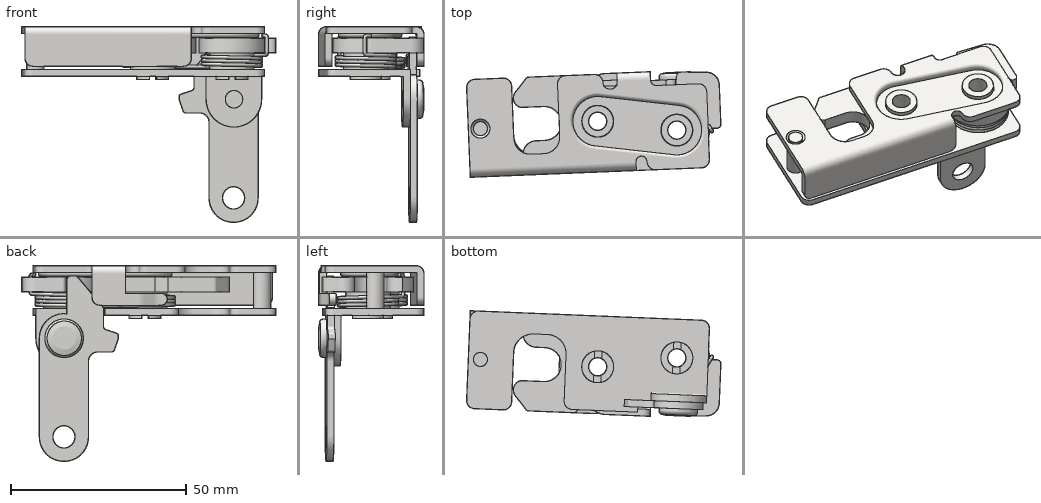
import cadquery as cq
import math

ASSEMBLY_TURN = 2.35

MARGIN = 0.1

SHEET = 2.0
FRAME_HEIGHT = 14.2
UPPER_PLATE_BOTTOM = FRAME_HEIGHT - SHEET
ROTOR_BOTTOM = 6.7
ROTOR_THICKNESS = 4.2
DIMPLE_DROP = 1.15
DIMPLE_UNDERSIDE = UPPER_PLATE_BOTTOM - DIMPLE_DROP
DIMPLE_FLOOR = 12.55
BUSHING_TOP = 13.65

FRAME_LEFT = -36.95
FRAME_RIGHT = 31.4
FRAME_FRONT = -14.5
FRAME_BACK = 13.4
CORNER_RADIUS = 2.4

MOUTH_LEFT = -24.05
MOUTH_RIGHT = -11.0
MOUTH_BOTTOM = -8.6
MOUTH_RADIUS = 4.7
LOWER_MOUTH_RIGHT = -9.15
LOWER_MOUTH_RADIUS = 5.5

PIVOTS = [(0.0, 0.0), (22.43, -3.45)]
HOOK_PIVOT, PAWL_PIVOT = PIVOTS
PIVOT_SPACING = math.dist(HOOK_PIVOT, PAWL_PIVOT)
PIVOT_LINE_ANGLE = math.degrees(math.atan2(PAWL_PIVOT[1], PAWL_PIVOT[0]))

BUSHING_BORE = 5.1
BUSHING_COLLAR = 12.7
BUSHING_JOURNAL = 11.0
BUSHING_NOSE = 8.9
BUSHING_NOSE_HOLE = 9.1
BUSHING_TAIL = 9.1
BUSHING_TAIL_DROP = 0.9
TAIL_SLOT_WIDTH = 2.1

DIMPLE_FLOOR_RADIUS = 7.06
DIMPLE_RIM_ROUND = 1.0
DIMPLE_BOSS_RADIUS = 7.8
DIMPLE_BOSS_FILLET = 0.8

PIN_POSITION = (-33.47, -0.72)
PIN_DIAMETER = 5.0
PIN_TENON = 4.0
PIN_SINK_DIAMETER = 5.4
PIN_SINK_ANGLE = 90

BEND_RADIUS = 2.3
FLANGE_BOTTOM = 2.9
FLANGE_CORNER_RADIUS = 2.2
FRONT_FLANGE_RIGHT = 10.45
FRONT_RELIEF_RADIUS = 1.55
FRONT_RELIEF_CENTER_Y = -12.0
BACK_FLANGE_LEFT = 6.0
BACK_FLANGE_RIGHT = 15.55
BACK_FLANGE_FACE = 13.52
BACK_RELIEF_RADIUS = 2.03
BACK_RELIEF_CENTER_Y = 11.0
RIGHT_BACK_EDGE = 9.5
BACK_NOTCH_RADIUS = 1.6

TAIL_TOP = 6.3
TAIL_END = -6.0
JOGGLE_START = 1.5
JOGGLE_END = -3.0
JOGGLE_OFFSET = 2.25
JOGGLE_ROUND = 4.0

LEVER_AXIS_X = 23.48
LEVER_AXIS_Z = -6.5
LEVER_FRONT = 9.0
LEVER_WIDTH = 14.0
LEVER_EYE_Z = -34.6
LEVER_EYE_DIAMETER = 6.3
FINGER_LEFT = 12.2
FINGER_RIGHT = 22.65
FINGER_TOP_LEFT = 19.85
FINGER_TOP = 11.3
FINGER_SLOPE_START_Z = 2.2
FINGER_ROUND = 1.2
BUMP_LEFT = 8.0
BUMP_HEEL_X = 9.3
BUMP_ROOT_Z = -3.8
BUMP_TOP_Z = -5.2
BUMP_MIDDLE_Z = -6.7
BUMP_BOTTOM_Z = -10.45
BUMP_ROUND = 0.9
BUMP_TOP_ROUND = 0.5
BUMP_LEVER_ROUND = 2.6
TAB_RADIUS = FRAME_RIGHT - LEVER_AXIS_X
TAB_BEND_RADIUS = 0.35
LEVER_NOTCH_LEFT = 11.9
LOWER_PLATE_BACK = 12.45
LOWER_FRONT_CORNER_RADIUS = 2.5
RIVET_TENON = 5.0
RIVET_SHANK = 7.0
RIVET_HEAD = 11.0
RIVET_RIM_HEIGHT = 0.85
RIVET_SHOULDER_RADIUS = 4.9
RIVET_SHOULDER_HEIGHT = 1.75
RIVET_ROUND = (5.3, 1.4)
RIVET_TOP_RADIUS = 3.35
RIVET_HEAD_HEIGHT = 2.05

WIRE_DIAMETER = 1.0
COIL_RADIUS = 8.25
COIL_PITCH = 1.02
HOOK_WHOLE_TURNS = 2
PAWL_WHOLE_TURNS = 3
SPRING_BOTTOM = 2.85
SPRING_TOP = 11.62
SPRING_LEG_RADIUS = 10.0
SPRING_LEG_BEND = 0.9
SPRING_HOOK_LENGTH = 2.0
HOOK_LEG_ANGLE = -90.0
PAWL_LEG_ANGLE = -4.0

HOOK_BODY_RADIUS = 12.3
HOOK_SHOULDER_Y = 9.9
THROAT_CENTER_X = -15.2
THROAT_RADIUS = 4.8
UPPER_JAW_LIP_X = -21.7
UPPER_JAW_NOSE = (-23.75, 7.83)
UPPER_JAW_SLOPE_START = (-22.95, 9.45)
UPPER_JAW_SLOPE_END = (-20.1, 12.8)
UPPER_JAW_ROUND = (-19.75, 13.2)
UPPER_JAW_TOP_LEFT = -19.1
UPPER_JAW_TOP_RIGHT = -6.0
LOWER_JAW_HEEL_X = -15.0
LOWER_JAW_HEEL_ROUND = (-18.0, -11.6)
LOWER_JAW_CHIN = (-20.5, -9.9)
LOWER_JAW_TIP = (-21.7, -8.9)
LOWER_JAW_NOSE = (-20.64, -6.05)
LOWER_JAW_LIP_X = -18.0
LEG_NOTCH_WIDTH = 1.8

PAWL_HUB_RADIUS = 9.35
PAWL_ARM_LEFT = 22.75
PAWL_ARM_RIGHT = 35.07
PAWL_ARM_BOTTOM = -3.4
PAWL_FLANK_START = (PAWL_ARM_LEFT, 10.9)
PAWL_FLANK_END = (23.2, 12.6)
PAWL_FLANK_ROUND = (23.5, 12.95)
PAWL_TOP_LEFT = (24.0, 13.05)
PAWL_TOP_RIGHT_Y = 12.6
PAWL_ARM_RADIUS = 3.8
PAWL_TIP_RADIUS = 1.2


def disc(center, diameter, bottom, top):
    return cq.Workplane("XY", origin=(*center, bottom)).circle(diameter / 2).extrude(top - bottom)


def obround(radius, z):
    middle = ((HOOK_PIVOT[0] + PAWL_PIVOT[0]) / 2, (HOOK_PIVOT[1] + PAWL_PIVOT[1]) / 2)
    return (
        cq.Workplane("XY", origin=(*middle, z))
        .transformed(rotate=(0, 0, PIVOT_LINE_ANGLE))
        .slot2D(PIVOT_SPACING + 2 * radius, 2 * radius)
    )


def box(left, right, front, back, bottom, top):
    return (
        cq.Workplane("XY", origin=(left, front, bottom))
        .box(right - left, back - front, top - bottom, centered=False)
    )


def cut_mouth(plate, right, right_back, radius, bottom):
    """Cut the mouth into a plate whose back edge lies at right_back on the right of the mouth."""
    mouth = box(MOUTH_LEFT, right, MOUTH_BOTTOM, FRAME_BACK, bottom, bottom + SHEET)
    plate = plate.cut(mouth.edges("|Z and <Y").fillet(radius))
    for x, y in [(MOUTH_LEFT, FRAME_BACK), (right, right_back)]:
        plate = fillet_corner(plate, x, y, bottom, CORNER_RADIUS)
    return plate


def fillet_corner(body, x, y, bottom, radius):
    near = cq.selectors.BoxSelector(
        (x - MARGIN, y - MARGIN, bottom - MARGIN),
        (x + MARGIN, y + MARGIN, bottom + SHEET + MARGIN),
        True,
    )
    return body.edges("|Z").edges(near).fillet(radius)


def make_upper_plate():
    front_flat = FRAME_FRONT + BEND_RADIUS
    relief_x = FRONT_FLANGE_RIGHT + FRONT_RELIEF_RADIUS
    front_round = FRONT_RELIEF_CENTER_Y - FRAME_FRONT
    front_round_x = relief_x + FRONT_RELIEF_RADIUS + front_round
    diagonal = math.sqrt(0.5)
    back_flat = BACK_FLANGE_FACE - BEND_RADIUS
    back_relief_x = BACK_FLANGE_LEFT - BACK_RELIEF_RADIUS
    back_round = FRAME_BACK - BACK_RELIEF_CENTER_Y
    back_round_x = back_relief_x - BACK_RELIEF_RADIUS - back_round
    notch_center = (BACK_FLANGE_RIGHT + BACK_NOTCH_RADIUS, RIGHT_BACK_EDGE + BACK_NOTCH_RADIUS)
    plate = (
        cq.Workplane("XY", origin=(0, 0, UPPER_PLATE_BOTTOM))
        .moveTo(FRAME_LEFT, front_flat)
        .lineTo(FRONT_FLANGE_RIGHT, front_flat)
        .lineTo(FRONT_FLANGE_RIGHT, FRONT_RELIEF_CENTER_Y)
        .threePointArc((relief_x, FRONT_RELIEF_CENTER_Y + FRONT_RELIEF_RADIUS),
                       (relief_x + FRONT_RELIEF_RADIUS, FRONT_RELIEF_CENTER_Y))
        .threePointArc((front_round_x - front_round * diagonal,
                        FRONT_RELIEF_CENTER_Y - front_round * diagonal),
                       (front_round_x, FRAME_FRONT))
        .lineTo(FRAME_RIGHT, FRAME_FRONT)
        .lineTo(FRAME_RIGHT, RIGHT_BACK_EDGE)
        .lineTo(notch_center[0], RIGHT_BACK_EDGE)
        .threePointArc((notch_center[0] - BACK_NOTCH_RADIUS * diagonal,
                        notch_center[1] - BACK_NOTCH_RADIUS * diagonal),
                       (BACK_FLANGE_RIGHT, notch_center[1]))
        .lineTo(BACK_FLANGE_RIGHT, back_flat)
        .lineTo(BACK_FLANGE_LEFT, back_flat)
        .lineTo(BACK_FLANGE_LEFT, BACK_RELIEF_CENTER_Y)
        .threePointArc((back_relief_x, BACK_RELIEF_CENTER_Y - BACK_RELIEF_RADIUS),
                       (back_relief_x - BACK_RELIEF_RADIUS, BACK_RELIEF_CENTER_Y))
        .threePointArc((back_round_x + back_round * diagonal,
                        BACK_RELIEF_CENTER_Y + back_round * diagonal),
                       (back_round_x, FRAME_BACK))
        .lineTo(FRAME_LEFT, FRAME_BACK)
        .close()
        .extrude(SHEET)
    )
    for x, y in [(FRAME_LEFT, FRAME_BACK), (FRAME_RIGHT, FRAME_FRONT), (FRAME_RIGHT, RIGHT_BACK_EDGE)]:
        plate = fillet_corner(plate, x, y, UPPER_PLATE_BOTTOM, CORNER_RADIUS)
    plate = cut_mouth(plate, MOUTH_RIGHT, FRAME_BACK, MOUTH_RADIUS, UPPER_PLATE_BOTTOM)
    plate = form_dimple(plate)
    plate = plate.union(make_flange(FRAME_LEFT, FRONT_FLANGE_RIGHT, FRAME_FRONT, 1, ["<X", ">X"]))
    plate = plate.union(make_flange(BACK_FLANGE_LEFT, BACK_FLANGE_RIGHT, BACK_FLANGE_FACE, -1, [">X"]))
    plate = plate.union(make_tail())
    for pivot in PIVOTS:
        plate = plate.cut(disc(pivot, BUSHING_NOSE_HOLE, DIMPLE_UNDERSIDE, FRAME_HEIGHT))
    return (
        plate.faces(">Z").workplane(origin=(*PIN_POSITION, FRAME_HEIGHT))
        .cskHole(PIN_TENON, PIN_SINK_DIAMETER, PIN_SINK_ANGLE, SHEET)
    )


def make_flange(left, right, outer, inward, rounded_ends):
    """Flange folded down from the plate; inward is +1 or -1, the Y direction towards the plate."""
    inner = outer + inward * SHEET
    flat = outer + inward * BEND_RADIUS
    bend_inner = BEND_RADIUS - SHEET
    center_z = FRAME_HEIGHT - BEND_RADIUS
    diagonal = math.sqrt(0.5)
    flange = (
        cq.Workplane("YZ", origin=(left, 0, 0))
        .moveTo(flat, FRAME_HEIGHT)
        .threePointArc((flat - inward * BEND_RADIUS * diagonal, center_z + BEND_RADIUS * diagonal),
                       (outer, center_z))
        .lineTo(outer, FLANGE_BOTTOM)
        .lineTo(inner, FLANGE_BOTTOM)
        .lineTo(inner, center_z)
        .threePointArc((flat - inward * bend_inner * diagonal, center_z + bend_inner * diagonal),
                       (flat, UPPER_PLATE_BOTTOM))
        .close()
        .extrude(right - left)
    )
    for side in rounded_ends:
        flange = flange.faces(side).edges("<Z").fillet(FLANGE_CORNER_RADIUS)
    return flange


def make_tail():
    outer = BACK_FLANGE_FACE
    inner = outer - SHEET
    end_radius = (TAIL_TOP - FLANGE_BOTTOM) / 2
    end_x = TAIL_END + end_radius
    tail = (
        cq.Workplane("XY", origin=(0, 0, FLANGE_BOTTOM))
        .polyline([
            (BACK_FLANGE_LEFT, outer),
            (JOGGLE_START, outer),
            (JOGGLE_END, outer - JOGGLE_OFFSET),
            (end_x, outer - JOGGLE_OFFSET),
            (end_x, inner - JOGGLE_OFFSET),
            (JOGGLE_END, inner - JOGGLE_OFFSET),
            (JOGGLE_START, inner),
            (BACK_FLANGE_LEFT, inner),
        ])
        .close()
        .extrude(TAIL_TOP - FLANGE_BOTTOM)
    )
    for x in (JOGGLE_START, JOGGLE_END):
        bend_line = cq.selectors.BoxSelector(
            (x - MARGIN, 0, 0),
            (x + MARGIN, BACK_FLANGE_FACE + MARGIN, FRAME_HEIGHT),
            True,
        )
        tail = tail.edges(bend_line).fillet(JOGGLE_ROUND)
    round_end = (
        cq.Workplane("XZ", origin=(end_x, outer - JOGGLE_OFFSET, FLANGE_BOTTOM + end_radius))
        .circle(end_radius)
        .extrude(SHEET)
    )
    return tail.union(round_end)


def form_dimple(plate):
    boss = obround(DIMPLE_BOSS_RADIUS, DIMPLE_UNDERSIDE).extrude(DIMPLE_DROP)
    boss = boss.faces("<Z").edges().fillet(DIMPLE_BOSS_FILLET)
    recess = obround(DIMPLE_FLOOR_RADIUS, DIMPLE_FLOOR).extrude(FRAME_HEIGHT - DIMPLE_FLOOR)
    reach = DIMPLE_FLOOR_RADIUS + MARGIN
    rim = cq.selectors.BoxSelector(
        (HOOK_PIVOT[0] - reach, PAWL_PIVOT[1] - reach, FRAME_HEIGHT - MARGIN),
        (PAWL_PIVOT[0] + reach, HOOK_PIVOT[1] + reach, FRAME_HEIGHT + MARGIN),
        True,
    )
    return plate.union(boss).cut(recess).edges(rim).fillet(DIMPLE_RIM_ROUND)


def make_lower_plate():
    tab_face = LEVER_FRONT
    plate = (
        cq.Workplane("XY")
        .polyline([
            (FRAME_LEFT, FRAME_FRONT),
            (FRAME_RIGHT, FRAME_FRONT),
            (FRAME_RIGHT, tab_face),
            (LEVER_NOTCH_LEFT, tab_face),
            (LEVER_NOTCH_LEFT, LOWER_PLATE_BACK),
            (LOWER_MOUTH_RIGHT, LOWER_PLATE_BACK),
            (LOWER_MOUTH_RIGHT, FRAME_BACK),
            (FRAME_LEFT, FRAME_BACK),
        ])
        .close()
        .extrude(SHEET)
    )
    plate = fillet_corner(plate, FRAME_LEFT, FRAME_FRONT, 0, LOWER_FRONT_CORNER_RADIUS)
    for x, y in [(FRAME_LEFT, FRAME_BACK), (FRAME_RIGHT, FRAME_FRONT)]:
        plate = fillet_corner(plate, x, y, 0, CORNER_RADIUS)
    plate = cut_mouth(plate, LOWER_MOUTH_RIGHT, LOWER_PLATE_BACK, LOWER_MOUTH_RADIUS, 0)
    tab = (
        cq.Workplane("XZ", origin=(0, LEVER_FRONT, 0))
        .moveTo(LEVER_AXIS_X - TAB_RADIUS, 0)
        .lineTo(LEVER_AXIS_X - TAB_RADIUS, LEVER_AXIS_Z)
        .threePointArc((LEVER_AXIS_X, LEVER_AXIS_Z - TAB_RADIUS), (LEVER_AXIS_X + TAB_RADIUS, LEVER_AXIS_Z))
        .lineTo(LEVER_AXIS_X + TAB_RADIUS, 0)
        .close()
        .extrude(SHEET)
    )
    plate = plate.union(tab)
    inside_corner = cq.selectors.NearestToPointSelector((LEVER_AXIS_X, LEVER_FRONT - SHEET, 0))
    plate = plate.edges("|X").edges(inside_corner).fillet(TAB_BEND_RADIUS)
    plate = plate.cut(lever_pin(RIVET_TENON, LEVER_FRONT - SHEET, LEVER_FRONT))
    for pivot in PIVOTS:
        plate = plate.cut(disc(pivot, BUSHING_TAIL, 0, SHEET))
    return plate.cut(disc(PIN_POSITION, PIN_TENON, 0, SHEET))


def make_stop_pin():
    tenons = disc(PIN_POSITION, PIN_TENON, 0, FRAME_HEIGHT)
    return tenons.union(disc(PIN_POSITION, PIN_DIAMETER, SHEET, UPPER_PLATE_BOTTOM))


def make_bushing(pivot):
    tail_end = -BUSHING_TAIL_DROP
    bushing = (
        disc(pivot, BUSHING_TAIL, tail_end, SHEET)
        .union(disc(pivot, BUSHING_COLLAR, SHEET, ROTOR_BOTTOM))
        .union(disc(pivot, BUSHING_JOURNAL, ROTOR_BOTTOM, DIMPLE_UNDERSIDE))
        .union(disc(pivot, BUSHING_NOSE, DIMPLE_UNDERSIDE, BUSHING_TOP))
    )
    half_slot = TAIL_SLOT_WIDTH / 2
    slot = box(-half_slot, half_slot, -BUSHING_TAIL, BUSHING_TAIL, tail_end, 0)
    bore = disc(pivot, BUSHING_BORE, tail_end, BUSHING_TOP)
    return bushing.cut(slot.translate((*pivot, 0))).cut(bore)


def make_hook():
    """Hook with an upper and a lower jaw around a round throat."""
    shoulder_x = math.sqrt(HOOK_BODY_RADIUS**2 - HOOK_SHOULDER_Y**2)
    throat_deep = (THROAT_CENTER_X + THROAT_RADIUS, 0)
    hook = (
        cq.Workplane("XY", origin=(0, 0, ROTOR_BOTTOM))
        .moveTo(THROAT_CENTER_X, THROAT_RADIUS)
        .lineTo(UPPER_JAW_LIP_X, THROAT_RADIUS)
        .threePointArc(UPPER_JAW_NOSE, UPPER_JAW_SLOPE_START)
        .lineTo(*UPPER_JAW_SLOPE_END)
        .threePointArc(UPPER_JAW_ROUND, (UPPER_JAW_TOP_LEFT, FRAME_BACK))
        .lineTo(UPPER_JAW_TOP_RIGHT, FRAME_BACK)
        .lineTo(UPPER_JAW_TOP_RIGHT + FRAME_BACK - HOOK_SHOULDER_Y, HOOK_SHOULDER_Y)
        .lineTo(shoulder_x, HOOK_SHOULDER_Y)
        .threePointArc((HOOK_BODY_RADIUS, 0), (0, -HOOK_BODY_RADIUS))
        .lineTo(LOWER_JAW_HEEL_X, -HOOK_BODY_RADIUS)
        .threePointArc(LOWER_JAW_HEEL_ROUND, LOWER_JAW_CHIN)
        .lineTo(*LOWER_JAW_TIP)
        .threePointArc(LOWER_JAW_NOSE, (LOWER_JAW_LIP_X, -THROAT_RADIUS))
        .lineTo(THROAT_CENTER_X, -THROAT_RADIUS)
        .threePointArc(throat_deep, (THROAT_CENTER_X, THROAT_RADIUS))
        .close()
        .extrude(ROTOR_THICKNESS)
    )
    half_notch = LEG_NOTCH_WIDTH / 2
    notch_end = half_notch - SPRING_LEG_RADIUS
    top = ROTOR_BOTTOM + ROTOR_THICKNESS
    notch = box(-half_notch, half_notch, -HOOK_BODY_RADIUS - half_notch, notch_end, ROTOR_BOTTOM, top)
    return hook.cut(notch).cut(disc(HOOK_PIVOT, BUSHING_JOURNAL, ROTOR_BOTTOM, top))


def make_pawl():
    """Pawl with a round hub and an arm that reaches around the corner of the frame."""
    arm = (
        cq.Workplane("XY", origin=(0, 0, ROTOR_BOTTOM))
        .moveTo(PAWL_ARM_LEFT, PAWL_PIVOT[1])
        .lineTo(*PAWL_FLANK_START)
        .lineTo(*PAWL_FLANK_END)
        .threePointArc(PAWL_FLANK_ROUND, PAWL_TOP_LEFT)
        .lineTo(PAWL_ARM_RIGHT, PAWL_TOP_RIGHT_Y)
        .lineTo(PAWL_ARM_RIGHT, PAWL_ARM_BOTTOM)
        .lineTo(PAWL_PIVOT[0], PAWL_ARM_BOTTOM)
        .close()
        .extrude(ROTOR_THICKNESS)
    )
    arm = arm.edges("|Z").edges(">X").edges(">Y").fillet(PAWL_ARM_RADIUS)
    arm = arm.edges("|Z").edges(">X").edges("<Y").fillet(PAWL_TIP_RADIUS)
    top = ROTOR_BOTTOM + ROTOR_THICKNESS
    hub = disc(PAWL_PIVOT, 2 * PAWL_HUB_RADIUS, ROTOR_BOTTOM, top)
    return hub.union(arm).cut(disc(PAWL_PIVOT, BUSHING_JOURNAL, ROTOR_BOTTOM, top))


def make_lever():
    """Handle lever: an eye at the bottom, a thumb bump and a finger that pushes the pawl."""
    half = LEVER_WIDTH / 2
    left = LEVER_AXIS_X - half
    right = LEVER_AXIS_X + half
    shoulder_z = LEVER_AXIS_Z + math.sqrt(half**2 - (LEVER_AXIS_X - FINGER_RIGHT) ** 2)
    diagonal = half * math.sqrt(0.5)
    lever = (
        cq.Workplane("XZ", origin=(0, LEVER_FRONT + SHEET, 0))
        .moveTo(left, LEVER_EYE_Z)
        .threePointArc((LEVER_AXIS_X, LEVER_EYE_Z - half), (right, LEVER_EYE_Z))
        .lineTo(right, LEVER_AXIS_Z)
        .threePointArc((LEVER_AXIS_X + diagonal, LEVER_AXIS_Z + diagonal), (FINGER_RIGHT, shoulder_z))
        .lineTo(FINGER_RIGHT, FINGER_TOP)
        .lineTo(FINGER_TOP_LEFT, FINGER_TOP)
        .lineTo(FINGER_LEFT, FINGER_SLOPE_START_Z)
        .lineTo(FINGER_LEFT, BUMP_ROOT_Z)
        .lineTo(BUMP_LEFT, BUMP_TOP_Z)
        .lineTo(BUMP_LEFT, BUMP_MIDDLE_Z)
        .lineTo(BUMP_HEEL_X, BUMP_BOTTOM_Z)
        .lineTo(left, BUMP_BOTTOM_Z)
        .close()
        .extrude(SHEET)
    )
    rounds = [
        ((FINGER_RIGHT, FINGER_TOP), FINGER_ROUND),
        ((FINGER_LEFT, BUMP_ROOT_Z), BUMP_ROUND),
        ((BUMP_LEFT, BUMP_TOP_Z), BUMP_TOP_ROUND),
        ((BUMP_HEEL_X, BUMP_BOTTOM_Z), BUMP_ROUND),
        ((left, BUMP_BOTTOM_Z), BUMP_LEVER_ROUND),
    ]
    for (x, z), radius in rounds:
        corner = cq.selectors.NearestToPointSelector((x, LEVER_FRONT + SHEET / 2, z))
        lever = lever.edges("|Y").edges(corner).fillet(radius)
    eye = (
        cq.Workplane("XZ", origin=(LEVER_AXIS_X, LEVER_FRONT + SHEET, LEVER_EYE_Z))
        .circle(LEVER_EYE_DIAMETER / 2)
        .extrude(SHEET)
    )
    return lever.cut(eye).cut(lever_pin(RIVET_SHANK, LEVER_FRONT, LEVER_FRONT + SHEET))


def lever_pin(diameter, front, back):
    return (
        cq.Workplane("XZ", origin=(LEVER_AXIS_X, back, LEVER_AXIS_Z))
        .circle(diameter / 2)
        .extrude(back - front)
    )


def make_rivet():
    head_base = LEVER_FRONT + SHEET
    profile = (
        cq.Workplane("XY")
        .moveTo(0, 0)
        .lineTo(RIVET_HEAD / 2, 0)
        .lineTo(RIVET_HEAD / 2, RIVET_RIM_HEIGHT)
        .threePointArc(RIVET_ROUND, (RIVET_SHOULDER_RADIUS, RIVET_SHOULDER_HEIGHT))
        .lineTo(RIVET_TOP_RADIUS, RIVET_HEAD_HEIGHT)
        .lineTo(0, RIVET_HEAD_HEIGHT)
        .close()
    )
    head = profile.revolve(360, (0, 0, 0), (0, 1, 0)).translate((LEVER_AXIS_X, head_base, LEVER_AXIS_Z))
    shank = lever_pin(RIVET_SHANK, LEVER_FRONT, head_base)
    tenon = lever_pin(RIVET_TENON, LEVER_FRONT - SHEET, LEVER_FRONT)
    return head.union(shank).union(tenon)


def coil_and_leg(pivot, leg_angle, spin, whole_turns):
    """Path edges from the bridge up round one coil, out along its tangent, up the leg and back inwards.

    spin is +1 where the path climbs counterclockwise seen from above and -1 where it climbs clockwise.
    """
    bridge_angle = PIVOT_LINE_ANGLE + 90
    tangent_swing = math.degrees(math.acos(COIL_RADIUS / SPRING_LEG_RADIUS))
    exit_angle = leg_angle - spin * tangent_swing
    turns = spin * (exit_angle - bridge_angle) / 360 % 1 + whole_turns
    rise = turns * COIL_PITCH
    coil = (
        cq.Wire.makeHelix(COIL_PITCH, rise, COIL_RADIUS, lefthand=spin < 0)
        .rotate(cq.Vector(0, 0, 0), cq.Vector(0, 0, 1), bridge_angle)
        .translate(cq.Vector(*pivot, SPRING_BOTTOM))
        .Edges()
    )

    exit_direction = math.radians(exit_angle)
    radial = cq.Vector(math.cos(exit_direction), math.sin(exit_direction), 0)
    outward = cq.Vector(0, 0, spin).cross(radial)
    coil_end = cq.Vector(*pivot, SPRING_BOTTOM + rise) + radial * COIL_RADIUS
    leg_plane = cq.Plane(coil_end, outward, outward.cross(cq.Vector(0, 0, 1)))

    bend = SPRING_LEG_BEND
    diagonal = bend * math.sqrt(0.5)
    reach = COIL_RADIUS * math.tan(math.radians(tangent_swing))
    bend_x = reach - bend
    slope = math.atan(COIL_PITCH / (2 * math.pi * COIL_RADIUS))
    bend_start_x = bend_x + bend * math.sin(slope)
    bend_start_z = bend_start_x * math.tan(slope)
    lower_bend_z = bend_start_z + bend * math.cos(slope)
    middle = (slope - math.pi / 2) / 2
    hook_z = SPRING_TOP - coil_end.z
    upper_bend_z = hook_z - bend
    leg = (
        cq.Workplane(leg_plane)
        .lineTo(bend_start_x, bend_start_z)
        .threePointArc((bend_x + bend * math.cos(middle), lower_bend_z + bend * math.sin(middle)),
                       (reach, lower_bend_z))
        .lineTo(reach, upper_bend_z)
        .threePointArc((bend_x + diagonal, upper_bend_z + diagonal), (bend_x, hook_z))
        .lineTo(reach - SPRING_HOOK_LENGTH, hook_z)
    )
    return coil + leg.wire().val().Edges()


def make_spring():
    """Double torsion spring: one wire with a coil round each bushing and a nearly straight bridge."""
    hook_side = coil_and_leg(HOOK_PIVOT, HOOK_LEG_ANGLE, 1, HOOK_WHOLE_TURNS)
    pawl_side = coil_and_leg(PAWL_PIVOT, PAWL_LEG_ANGLE, -1, PAWL_WHOLE_TURNS)
    bridge = cq.Edge.makeSpline(
        [hook_side[0].startPoint(), pawl_side[0].startPoint()],
        [hook_side[0].tangentAt(0) * -1, pawl_side[0].tangentAt(0)],
    )
    path = cq.Wire.assembleEdges([*hook_side[::-1], bridge, *pawl_side])
    end = pawl_side[-1]
    section = cq.Workplane(cq.Plane(end.endPoint(), normal=end.tangentAt(1))).circle(WIRE_DIAMETER / 2)
    return section.sweep(cq.Workplane(path))


bodies = [
    make_upper_plate(),
    make_lower_plate(),
    make_stop_pin(),
    *[make_bushing(pivot) for pivot in PIVOTS],
    make_hook(),
    make_pawl(),
    make_lever(),
    make_rivet(),
    make_spring(),
]
result = cq.Compound.makeCompound(
    [body.rotate((0, 0, 0), (0, 0, 1), ASSEMBLY_TURN).solids().val() for body in bodies]
)